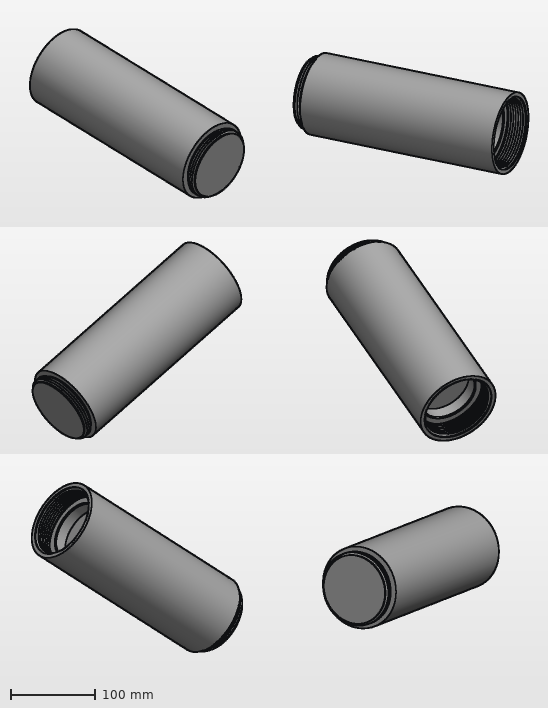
import cadquery as cq

total_length = 266.5
body_diameter = 99.5
spigot_length = 12.8
body_length = total_length - spigot_length
left_end = -total_length / 2
shoulder = left_end + body_length

thread_pitch = 3.2
flank_width = thread_pitch / 2

spigot_diameter = 83.5
spigot_crest_diameter = 88.8
spigot_thread_count = 3
spigot_relief_length = 1.5

socket_diameter = 88.8
socket_minor_diameter = 83.5
socket_thread_count = 7
socket_mouth_length = 1.5
socket_relief_length = 1.5
socket_depth = socket_mouth_length + socket_thread_count * thread_pitch + socket_relief_length

bore_diameter = 69.9
bore_depth = 16.5
bore_chamfer = 1.3


def revolve_about_x(profile):
    return profile.close().revolve(360, (0, 0, 0), (1, 0, 0))


def cylinder_along_x(start, length, diameter):
    return cq.Workplane("YZ", origin=(start, 0, 0)).circle(diameter / 2).extrude(length)


def add_thread(profile, start, count, root_radius, crest_radius):
    """Append annular ridges, each a symmetric V with its crest at mid-pitch."""
    for turn in range(count):
        ridge_start = start + turn * thread_pitch
        profile = profile.lineTo(ridge_start + flank_width, crest_radius)
        profile = profile.lineTo(ridge_start + thread_pitch, root_radius)
    return profile


def make_spigot():
    """Plain core carrying thread ridges."""
    core_radius = spigot_diameter / 2
    crest_radius = spigot_crest_diameter / 2
    thread_start = shoulder + spigot_relief_length
    profile = cq.Workplane("XY").moveTo(shoulder, 0).lineTo(shoulder, core_radius)
    profile = profile.lineTo(thread_start, core_radius)
    profile = add_thread(profile, thread_start, spigot_thread_count, core_radius, crest_radius)
    profile = profile.lineTo(total_length / 2, core_radius).lineTo(total_length / 2, 0)
    return revolve_about_x(profile)


def make_socket():
    """Cavity with thread ridges pointing inwards."""
    minor_radius = socket_minor_diameter / 2
    major_radius = socket_diameter / 2
    floor = left_end + socket_depth
    thread_start = left_end + socket_mouth_length
    profile = cq.Workplane("XY").moveTo(left_end, 0).lineTo(left_end, major_radius)
    profile = profile.lineTo(thread_start, major_radius)
    profile = add_thread(profile, thread_start, socket_thread_count, major_radius, minor_radius)
    profile = profile.lineTo(floor, major_radius).lineTo(floor, 0)
    return revolve_about_x(profile)


def make_bore():
    """Blind bore with a chamfered rim at the socket floor."""
    radius = bore_diameter / 2
    start = left_end + socket_depth
    end = start + bore_depth
    profile = cq.Workplane("XY").moveTo(start, 0).lineTo(start, radius + bore_chamfer)
    profile = profile.lineTo(start + bore_chamfer, radius).lineTo(end, radius).lineTo(end, 0)
    return revolve_about_x(profile)


body = cylinder_along_x(left_end, body_length, body_diameter)
result = body.union(make_spigot()).cut(make_socket()).cut(make_bore())